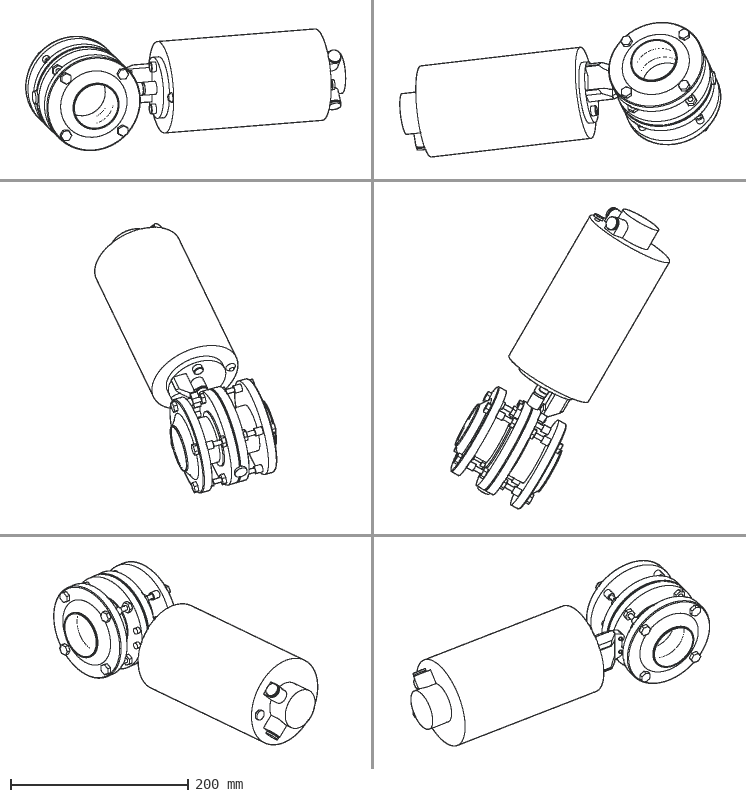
import cadquery as cq


OVERALL_LENGTH = 360.5

FLANGE_RADIUS = 110.0 / 2
PIPE_RADIUS = 53.7 / 2
BORE_RADIUS = 25.5
HALF_LENGTH = 54.0
MID_FLANGE_HALF = 21.3 / 2
OUTER_FLANGE_INNER_X = 34.0
OUTER_FLANGE_OUTER_X = 44.5
FLANGE_CHAMFER = 1.0
SPLIT_GROOVE_WIDTH = 1.5
SPLIT_GROOVE_DEPTH = 1.0
HUB_RADIUS = 39.0
HUB_START_X = 52.5
HUB_MID = (-49.7, 30.5)
RING_RADIUS = 32.0
RING_STEP_X = 12.3
RING_END_X = 14.0
VALVE_DISC_THICKNESS = 3.5

BOLT_COUNT = 4
BOLT_START_ANGLE = 45
BOLT_CIRCLE_RADIUS = 47.2
BOLT_HEX = 12.5
BOLT_HEAD_THICKNESS = 4.5
SHANK_RADIUS = 2.7
SLEEVE_RADIUS = 4.5
SLEEVE_END_X = 25.2

STEM_RADIUS = 14.8 / 2
STEM_ROOT_DEPTH = 3.5
STEM_JOINT_Y = 69.0
STEM_JOINT_GAP = 2.0
STEM_NECK_RADIUS = 6.5
PLUG_RIM_Y = -57.3
PLUG_TIP_Y = -58.8

BRACKET_FRONT_Y = 56.2
CHANNEL_BACK_X = -13.5
CHANNEL_TIP_X = -31.5
CHANNEL_HALF_HEIGHT = 40.7 / 2
CHANNEL_WEB_X = -18.5
CHANNEL_ROOT_Z = 10.8
CHANNEL_ROOT_FILLET = 1.5
TOE_X = -26.5
TOE_Z = 12.5
TIP_INNER_Z = 15.0
TIP_OUTER_Z = 16.2
TIP_CHAMFER_X = -28.5
CORNER_CUT_X = -19.0
CORNER_CUT_Y = 69.2
FOOT_OUTER_X = -18.7
FOOT_HALF_HEIGHT = 18.7
FOOT_FRONT_Y = 47.0
FOOT_FRONT_HALF_HEIGHT = 15.0
LUG_TOP_Y = 60.5
MOUNT_SCREW_Y = 49.0
MOUNT_SCREW_Z = 9.5
MOUNT_HEAD_RADIUS = 5.5
MOUNT_TIP_RADIUS = 2.0
MOUNT_TIP_X = -20.0
MOUNT_END_RADIUS = 3.42

PLATE_FRONT_Y = 84.7
HOUSING_FRONT_Y = 91.5
HOUSING_BACK_Y = 276.5
ACTUATOR_BACK_Y = OVERALL_LENGTH + PLUG_TIP_Y
HOUSING_RADIUS = 52.0
PLATE_RADIUS = 34.5
CAP_RADIUS = 46.5 / 2
PLATE_SCREW_Z = 49.5 / 2
PLATE_SCREW_RADIUS = 11.0 / 2
PLATE_SCREW_CHAMFER = 0.7
PLATE_SCREW_FRONT_Y = 79.0
VENT_X = 43.0
VENT_HEAD_RADIUS = 5.8
VENT_STEM_RADIUS = 3.0
VENT_HEAD_Y = 279.5
VENT_BACK_Y = 282.0
DRAIN_FRONT_Y = 88.0
ELBOW_RADIUS = 16.2 / 2
ELBOW_AXIS_Y = 286.5
ELBOW_START = 18.7
ELBOW_END = 38.5
ELBOW_NECK_END = 40.0
ELBOW_NECK_RADIUS = 7.2
ELBOW_TIP = 42.0
ELBOW_COLLAR_RADIUS = 7.5
ELBOW_ANGLES = (45, -45)


def rod_x(radius, x_start, x_end, y=0.0, z=0.0):
    """Round bar along X."""
    return cq.Workplane("YZ", origin=(x_start, y, z)).circle(radius).extrude(x_end - x_start)


def rod_y(radius, y_start, y_end, x=0.0, z=0.0):
    """Round bar along Y."""
    return cq.Workplane("XZ", origin=(x, y_start, z)).circle(radius).extrude(y_start - y_end)


def hex_x(width, x_start, x_end, y):
    """Hexagonal bar along X in the plane Z = 0, with a corner toward +Y."""
    return cq.Workplane("YZ", origin=(x_start, y, 0)).polygon(6, width).extrude(x_end - x_start)


def block(x_start, x_end, y_start, y_end, half_height):
    """Box that is symmetric about Z = 0."""
    size = (x_end - x_start, y_end - y_start, 2 * half_height)
    return cq.Workplane("XY", origin=(x_start, y_start, -half_height)).box(*size, centered=False)


def valve_half():
    """Left half of the turned valve housing, with its bore open."""
    chamfer_x = FLANGE_CHAMFER - OUTER_FLANGE_OUTER_X
    rim = FLANGE_RADIUS - FLANGE_CHAMFER
    groove_radius = FLANGE_RADIUS - SPLIT_GROOVE_DEPTH
    return (
        cq.Workplane("XY")
        .moveTo(0, BORE_RADIUS)
        .lineTo(-HALF_LENGTH, BORE_RADIUS)
        .lineTo(-HALF_LENGTH, PIPE_RADIUS)
        .lineTo(-HUB_START_X, PIPE_RADIUS)
        .threePointArc(HUB_MID, (-OUTER_FLANGE_OUTER_X, HUB_RADIUS))
        .lineTo(-OUTER_FLANGE_OUTER_X, rim)
        .lineTo(chamfer_x, FLANGE_RADIUS)
        .lineTo(-OUTER_FLANGE_INNER_X, FLANGE_RADIUS)
        .lineTo(-OUTER_FLANGE_INNER_X, PIPE_RADIUS)
        .lineTo(-RING_END_X, PIPE_RADIUS)
        .lineTo(-RING_STEP_X, RING_RADIUS)
        .lineTo(-MID_FLANGE_HALF, RING_RADIUS)
        .lineTo(-MID_FLANGE_HALF, FLANGE_RADIUS)
        .lineTo(-SPLIT_GROOVE_WIDTH / 2, FLANGE_RADIUS)
        .lineTo(-SPLIT_GROOVE_WIDTH / 2, groove_radius)
        .lineTo(0, groove_radius)
        .close()
        .revolve(360, (0, 0, 0), (1, 0, 0))
    )


def flange_bolt():
    """Bolt on the +Y axis, from the left outer flange to the middle flange."""
    y = BOLT_CIRCLE_RADIUS
    head_x = -OUTER_FLANGE_OUTER_X
    nut_x = -MID_FLANGE_HALF
    head = hex_x(BOLT_HEX, head_x - BOLT_HEAD_THICKNESS, head_x, y)
    nut = hex_x(BOLT_HEX, nut_x - BOLT_HEAD_THICKNESS, nut_x, y)
    hexes = head.union(nut).rotate((0, y, 0), (1, y, 0), -BOLT_START_ANGLE)
    sleeve = rod_x(SLEEVE_RADIUS, -OUTER_FLANGE_INNER_X, -SLEEVE_END_X, y)
    shank = rod_x(SHANK_RADIUS, head_x, nut_x, y)
    return hexes.union(sleeve).union(shank)


def domed_plug(root_y):
    """Round plug along Y with a shallow domed end."""
    dome_height = PLUG_RIM_Y - PLUG_TIP_Y
    dome_radius = (STEM_RADIUS**2 + dome_height**2) / (2 * dome_height)
    bar = rod_y(STEM_RADIUS, PLUG_TIP_Y, root_y)
    ball = cq.Workplane("XY", origin=(0, PLUG_TIP_Y + dome_radius, 0)).sphere(dome_radius)
    cap = bar.intersect(ball)
    return cap.union(rod_y(STEM_RADIUS, PLUG_RIM_Y, root_y))


def make_valve():
    half = valve_half()
    bolt = flange_bolt()
    for i in range(BOLT_COUNT):
        half = half.union(bolt.rotate((0, 0, 0), (1, 0, 0), BOLT_START_ANGLE + i * 360 / BOLT_COUNT))
    valve = half.union(half.mirror("YZ"))

    valve = valve.union(rod_x(BORE_RADIUS, -VALVE_DISC_THICKNESS / 2, VALVE_DISC_THICKNESS / 2))

    root = FLANGE_RADIUS - STEM_ROOT_DEPTH
    stem = rod_y(STEM_RADIUS, root, STEM_JOINT_Y)
    neck = rod_y(STEM_NECK_RADIUS, STEM_JOINT_Y, STEM_JOINT_Y + STEM_JOINT_GAP)
    valve = valve.union(stem).union(neck).union(domed_plug(-root))

    end_x = MID_FLANGE_HALF + BOLT_HEAD_THICKNESS
    for z in (-MOUNT_SCREW_Z, MOUNT_SCREW_Z):
        valve = valve.union(rod_x(MOUNT_END_RADIUS, MID_FLANGE_HALF, end_x, MOUNT_SCREW_Y, z))
    return valve


def mirrored_profile(points):
    """Closed XZ outline at the front of the bracket, from its upper half."""
    lower = [(x, -z) for x, z in reversed(points)]
    return cq.Workplane("XZ", origin=(0, BRACKET_FRONT_Y, 0)).polyline(points + lower).close()


def channel():
    """U-channel along Y, open toward -X, with tapered legs and a bevelled front corner."""
    length = PLATE_FRONT_Y - BRACKET_FRONT_Y
    bar = mirrored_profile([
        (CHANNEL_BACK_X, CHANNEL_HALF_HEIGHT),
        (TIP_CHAMFER_X, CHANNEL_HALF_HEIGHT),
        (CHANNEL_TIP_X, TIP_OUTER_Z),
    ]).extrude(-length)
    trough = mirrored_profile([
        (CHANNEL_TIP_X, TIP_INNER_Z),
        (TOE_X, TOE_Z),
        (CHANNEL_WEB_X, CHANNEL_ROOT_Z),
    ]).extrude(-length)
    trough = trough.faces(">X").edges("|Y").fillet(CHANNEL_ROOT_FILLET)
    corner = (
        cq.Workplane("XY")
        .polyline([
            (CHANNEL_TIP_X, CORNER_CUT_Y),
            (CORNER_CUT_X, BRACKET_FRONT_Y),
            (CHANNEL_TIP_X, BRACKET_FRONT_Y),
        ])
        .close()
        .extrude(CHANNEL_HALF_HEIGHT, both=True)
    )
    return bar.cut(trough).cut(corner)


def make_bracket():
    foot = (
        cq.Workplane("YZ", origin=(FOOT_OUTER_X, 0, 0))
        .polyline([
            (BRACKET_FRONT_Y, FOOT_HALF_HEIGHT),
            (FOOT_FRONT_Y, FOOT_FRONT_HALF_HEIGHT),
            (FOOT_FRONT_Y, -FOOT_FRONT_HALF_HEIGHT),
            (BRACKET_FRONT_Y, -FOOT_HALF_HEIGHT),
        ])
        .close()
        .extrude(-MID_FLANGE_HALF - FOOT_OUTER_X)
    )
    lug = block(CHANNEL_BACK_X, -MID_FLANGE_HALF, BRACKET_FRONT_Y, LUG_TOP_Y, FOOT_HALF_HEIGHT)
    bracket = channel().union(foot).union(lug)
    for z in (-MOUNT_SCREW_Z, MOUNT_SCREW_Z):
        head = rod_x(MOUNT_HEAD_RADIUS, FOOT_OUTER_X, -MID_FLANGE_HALF, MOUNT_SCREW_Y, z)
        tip = rod_x(MOUNT_TIP_RADIUS, MOUNT_TIP_X, FOOT_OUTER_X, MOUNT_SCREW_Y, z)
        bracket = bracket.union(head).union(tip)
    return bracket


def elbow(angle):
    """Air elbow that points outward from the Y axis, turned from +X toward +Z by the angle."""
    post = block(ELBOW_START, ELBOW_END, HOUSING_BACK_Y, ELBOW_AXIS_Y, ELBOW_RADIUS)
    tube = rod_x(ELBOW_RADIUS, ELBOW_START, ELBOW_END, ELBOW_AXIS_Y)
    neck = rod_x(ELBOW_NECK_RADIUS, ELBOW_END, ELBOW_NECK_END, ELBOW_AXIS_Y)
    collar = rod_x(ELBOW_COLLAR_RADIUS, ELBOW_NECK_END, ELBOW_TIP, ELBOW_AXIS_Y)
    fitting = post.union(tube).union(neck).union(collar)
    return fitting.rotate((0, 0, 0), (0, 1, 0), -angle)


def make_actuator():
    actuator = rod_y(HOUSING_RADIUS, HOUSING_FRONT_Y, HOUSING_BACK_Y)
    actuator = actuator.union(rod_y(PLATE_RADIUS, PLATE_FRONT_Y, HOUSING_FRONT_Y))
    actuator = actuator.union(rod_y(CAP_RADIUS, HOUSING_BACK_Y, ACTUATOR_BACK_Y))
    actuator = actuator.union(rod_y(STEM_RADIUS, STEM_JOINT_Y + STEM_JOINT_GAP, PLATE_FRONT_Y))

    for z in (-PLATE_SCREW_Z, PLATE_SCREW_Z):
        head = rod_y(PLATE_SCREW_RADIUS, PLATE_SCREW_FRONT_Y, PLATE_FRONT_Y, z=z)
        actuator = actuator.union(head.faces("<Y").chamfer(PLATE_SCREW_CHAMFER))

    actuator = actuator.union(rod_y(VENT_STEM_RADIUS, HOUSING_BACK_Y, VENT_HEAD_Y, VENT_X))
    actuator = actuator.union(rod_y(VENT_HEAD_RADIUS, VENT_HEAD_Y, VENT_BACK_Y, VENT_X))
    drain = (
        cq.Workplane("XZ", origin=(VENT_X, HOUSING_FRONT_Y, 0))
        .circle(VENT_HEAD_RADIUS)
        .workplane(offset=HOUSING_FRONT_Y - DRAIN_FRONT_Y)
        .circle(VENT_STEM_RADIUS)
        .loft()
    )
    actuator = actuator.union(drain)

    for angle in ELBOW_ANGLES:
        actuator = actuator.union(elbow(angle))
    return actuator


valve = make_valve()
bracket = make_bracket()
actuator = make_actuator()

result = cq.Compound.makeCompound([valve.solids().val(), bracket.solids().val(), actuator.solids().val()])